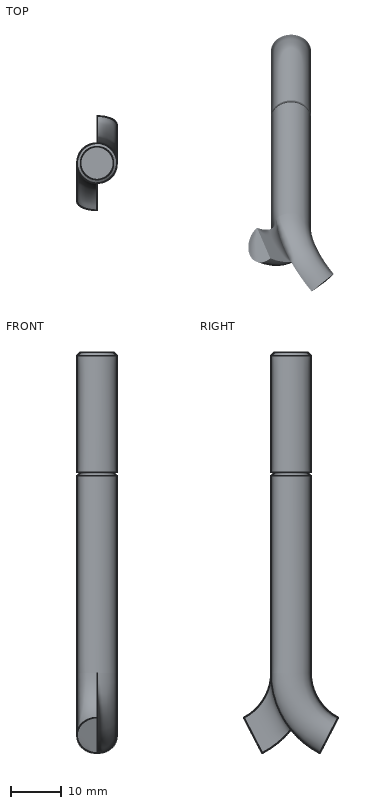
import cadquery as cq
import math

total_length = 80.0
rod_radius = 4.0
foot_height = 16.0

bend_radius = 14.0
bend_angle = math.degrees(math.asin(foot_height / (bend_radius + rod_radius)))

chamfer_size = 0.7

groove_top_depth = 24.0


def make_rod():
    """Revolve the straight rod, with its end chamfer and groove."""
    groove_top = total_length - groove_top_depth
    return (
        cq.Workplane("XZ")
        .moveTo(0, foot_height)
        .lineTo(rod_radius, foot_height)
        .lineTo(rod_radius, groove_top - chamfer_size)
        .lineTo(rod_radius - chamfer_size, groove_top)
        .lineTo(rod_radius, groove_top)
        .lineTo(rod_radius, total_length - chamfer_size)
        .lineTo(rod_radius - chamfer_size, total_length)
        .lineTo(0, total_length)
        .close()
        .revolve(360, (0, 0, 0), (0, 1, 0))
    )


def make_front_leg():
    """Sweep the -X half of the rod section in an arc toward -Y."""
    return (
        cq.Workplane("XY", origin=(0, 0, foot_height))
        .moveTo(0, rod_radius)
        .threePointArc((-rod_radius, 0), (0, -rod_radius))
        .close()
        .revolve(bend_angle, (0, -bend_radius, 0), (-1, -bend_radius, 0))
    )


front_leg = make_front_leg()
back_leg = front_leg.rotate((0, 0, 0), (0, 0, 1), 180)
result = make_rod().union(front_leg).union(back_leg)